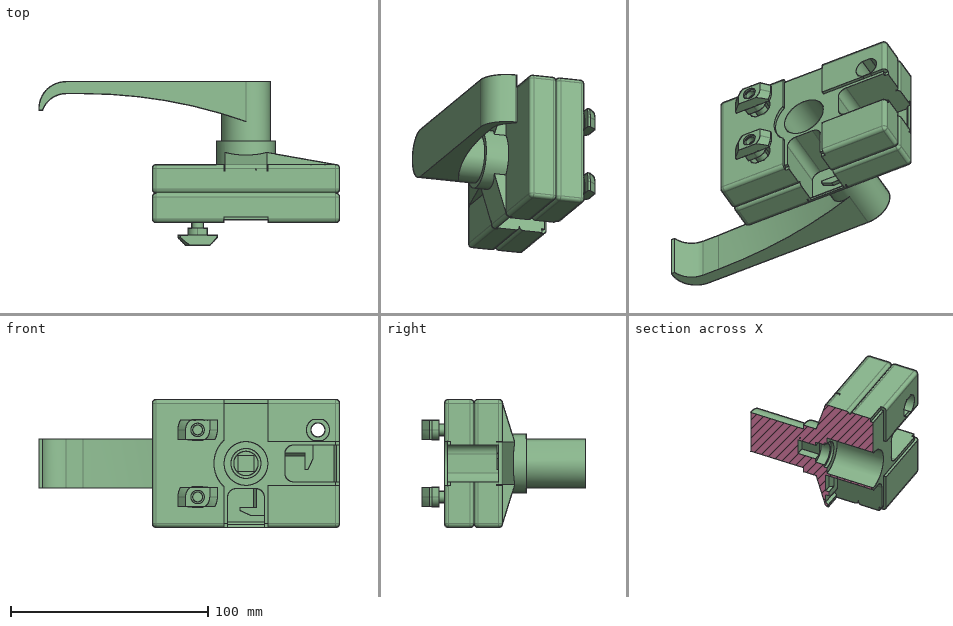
import cadquery as cq
import math


BODY_LENGTH = 95.0
BODY_HEIGHT = 65.0
FRONT_PLATE = 15.0
BACK_PLATE = 14.5
EDGE_RADIUS = 2.0
HALF_LENGTH = BODY_LENGTH / 2
HALF_HEIGHT = BODY_HEIGHT / 2
BACK_FACE = FRONT_PLATE + BACK_PLATE

CHANNEL_WIDTH = 22.5
CHANNEL_DEPTH = 1.5
CHANNEL_DISC_RADIUS = 16.25
CHANNEL_END_DEPTH = 3.0

BORE_RADIUS = 11.1
BORE_DEPTH = 28.0
SEAT_RADIUS = 7.6
SEAT_DEPTH = 1.5
SPINDLE_HOLE_RADIUS = 6.2
SPINDLE_HOLE_DEPTH = 5.0
SPINDLE_SQUARE = 8.3
SPINDLE_SQUARE_DEPTH = 10.0

POCKET_WIDTH = 18.7
POCKET_CORNER_RADIUS = 4.5
POCKET_SILL_DEPTH = 27.3
POCKET_SILL = 1.5
POCKET_DEEPENING = 1.4
SIDE_POCKET_START = 19.7
LOWER_POCKET_START = 12.7
HOOK_RISE = 2.0
SIDE_HOOK_END = 34.1
LOWER_HOOK_END = 26.5
HOOK_BAR_INNER = 5.3
HOOK_SLOPE = 1.5
HOOK_NOSE_WIDTH = 4.1
HOOK_NOSE_TIP_WIDTH = 1.4
HOOK_NOSE_END = -3.1
HOOK_NOSE_TAPER_START = 2.6

LOCK_X = 36.5
LOCK_RADIUS = 3.5
FLATTED_RADIUS = 5.85
FLATTED_HEIGHT = 10.8
FLATTED_DEPTH = 20.0

HUB_RADIUS = 15.0
HUB_END = 41.5
RIB_WIDTH = 21.5
RIB_HUB_Y = 35.6
RIB_HUB_REACH = 10.9
RIB_GROOVE_Y = 26.3

HANDLE_END = 71.6
SHAFT_RADIUS = 12.5
ARM_TIP_X = -105.0
ARM_TIP_Y = 57.0
ARM_TIP_WIDTH = 1.9
ARM_CURL_X = -91.2
ARM_FLAT_X = -82.5
ARM_THICKNESS = 6.2
ARM_ROOT_Y = 51.3

NUT_X = -24.5
FASTENER_Z = 17.0
NUT_END = -11.5
NUT_LENGTH = 20.0
NUT_WIDTH = 9.8
NUT_FLANGE = 5.2
NUT_RIM = 1.2
NUT_TOP_LENGTH = 12.3
NUT_COLLAR = 3.6
NUT_COLLAR_RADIUS = 5.0
BOLT_RADIUS = 3.0
NUT_HOLE_RADIUS = 3.4
NUT_HOLE_DEPTH = 1.0
NUT_INNER_RADIUS = 2.5
NUT_INNER_DEPTH = 4.0


def block(x0, x1, y0, y1, z0, z1):
    """Box given by its limits on the three axes."""
    return cq.Workplane("XY").box(x1 - x0, y1 - y0, z1 - z0, centered=False).translate((x0, y0, z0))


def facing_front(y):
    """Sketch plane at Y = y whose local axes are X and Z and which extrudes toward +Y when negated."""
    return cq.Workplane("XZ", origin=(0, y, 0))


def disc(radius, y0, y1, x=0, z=0):
    """Cylinder along Y."""
    return facing_front(y0).center(x, z).circle(radius).extrude(y0 - y1)


def plate(y0, y1):
    """Housing plate with every edge rounded."""
    body = block(-HALF_LENGTH, HALF_LENGTH, y0, y1, -HALF_HEIGHT, HALF_HEIGHT)
    return body.edges().fillet(EDGE_RADIUS)


def channels():
    """Front recess: a vertical and a +X channel, a half disc, and deeper steps at the open ends."""
    half = CHANNEL_WIDTH / 2
    step_x = HALF_LENGTH - EDGE_RADIUS
    step_z = HALF_HEIGHT - EDGE_RADIUS
    half_disc = disc(CHANNEL_DISC_RADIUS, 0, CHANNEL_DEPTH).intersect(
        block(-CHANNEL_DISC_RADIUS, 0, 0, CHANNEL_DEPTH, -CHANNEL_DISC_RADIUS, CHANNEL_DISC_RADIUS)
    )
    cut = block(-half, half, 0, CHANNEL_DEPTH, -HALF_HEIGHT, HALF_HEIGHT)
    cut = cut.union(block(0, HALF_LENGTH, 0, CHANNEL_DEPTH, -half, half))
    cut = cut.union(half_disc)
    cut = cut.union(block(step_x, HALF_LENGTH, 0, CHANNEL_END_DEPTH, -half, half))
    cut = cut.union(block(-half, half, 0, CHANNEL_END_DEPTH, step_z, HALF_HEIGHT))
    return cut.union(block(-half, half, 0, CHANNEL_END_DEPTH, -HALF_HEIGHT, -step_z))


def latch_pocket(start, end, hook_end):
    """Pocket cutter opening toward +X, with a raised hook left standing on its floor."""
    half = POCKET_WIDTH / 2
    floor = POCKET_SILL_DEPTH + POCKET_DEEPENING
    sill = end - POCKET_SILL
    profile = [
        (start, 0),
        (end, 0),
        (end, POCKET_SILL_DEPTH),
        (sill, POCKET_SILL_DEPTH),
        (sill - POCKET_DEEPENING, floor),
        (start, floor),
    ]
    cut = cq.Workplane("XY", origin=(0, 0, -half)).polyline(profile).close().extrude(POCKET_WIDTH)
    cut = cut.edges("|Y and <X").fillet(POCKET_CORNER_RADIUS)
    return cut.cut(latch_hook(start, hook_end, floor))


def latch_hook(start, hook_end, floor):
    """Bar with a tapered nose, standing on the pocket floor; the bar has a sloping inner side."""
    half = POCKET_WIDTH / 2
    nose = hook_end - HOOK_NOSE_WIDTH
    crest = floor - HOOK_RISE
    outline = [
        (start, half),
        (start, HOOK_BAR_INNER),
        (nose, HOOK_BAR_INNER),
        (nose, HOOK_NOSE_END),
        (nose + HOOK_NOSE_TIP_WIDTH, HOOK_NOSE_END),
        (hook_end, HOOK_NOSE_TAPER_START),
        (hook_end, half),
    ]
    hook = facing_front(crest).polyline(outline).close().extrude(-HOOK_RISE)
    slope = [(crest, HOOK_BAR_INNER), (floor, HOOK_BAR_INNER), (floor, HOOK_BAR_INNER - HOOK_SLOPE)]
    ramp = cq.Workplane("YZ", origin=(start, 0, 0)).polyline(slope).close().extrude(nose - start)
    return hook.union(ramp)


def center_opening():
    """Stepped round bore ending in the square spindle socket."""
    seat_end = BORE_DEPTH + SEAT_DEPTH
    hole_end = seat_end + SPINDLE_HOLE_DEPTH
    half = SPINDLE_SQUARE / 2
    cut = disc(BORE_RADIUS, 0, BORE_DEPTH)
    cut = cut.union(disc(SEAT_RADIUS, BORE_DEPTH, seat_end))
    cut = cut.union(disc(SPINDLE_HOLE_RADIUS, seat_end, hole_end))
    return cut.union(block(-half, half, hole_end, hole_end + SPINDLE_SQUARE_DEPTH, -half, half))


def flatted_hole(x, z):
    """Round blind hole from the front face with flats above and below."""
    half = FLATTED_HEIGHT / 2
    flats = block(x - FLATTED_RADIUS, x + FLATTED_RADIUS, 0, FLATTED_DEPTH, z - half, z + half)
    return disc(FLATTED_RADIUS, 0, FLATTED_DEPTH, x, z).intersect(flats)


def rib(half_size):
    """Rib along +X that falls from the hub to the rounded edge of a plate reaching half_size."""
    tangent = half_size - EDGE_RADIUS
    bend = EDGE_RADIUS * math.sqrt(0.5)
    base = BACK_FACE - EDGE_RADIUS
    profile = (
        cq.Workplane("XY", origin=(0, 0, -RIB_WIDTH / 2))
        .moveTo(0, RIB_GROOVE_Y)
        .lineTo(half_size, RIB_GROOVE_Y)
        .lineTo(half_size, base)
        .threePointArc((tangent + bend, base + bend), (tangent, BACK_FACE))
        .lineTo(RIB_HUB_REACH, RIB_HUB_Y)
        .lineTo(0, RIB_HUB_Y)
        .close()
    )
    return profile.extrude(RIB_WIDTH)


def rib_groove(half_size):
    """Slot across the plate edge, as wide as the channel, in which the narrower rib sits."""
    half = CHANNEL_WIDTH / 2
    return block(half_size - EDGE_RADIUS, half_size, RIB_GROOVE_Y, BACK_FACE, -half, half)


def turned(shape, angle):
    """Shape turned about the shaft axis; 90 degrees takes +X to -Z."""
    return shape.rotate((0, 0, 0), (0, 1, 0), angle)


def handle():
    """Round shaft with a curled lever arm reaching toward -X."""
    outer_radius = ARM_CURL_X - ARM_TIP_X
    curl_y = HANDLE_END - outer_radius
    bend = outer_radius * math.sqrt(0.5)
    inner_y = HANDLE_END - ARM_THICKNESS
    arm = (
        cq.Workplane("XY", origin=(0, 0, -SHAFT_RADIUS))
        .moveTo(0, HANDLE_END)
        .lineTo(ARM_CURL_X, HANDLE_END)
        .threePointArc((ARM_CURL_X - bend, curl_y + bend), (ARM_TIP_X, curl_y))
        .lineTo(ARM_TIP_X, ARM_TIP_Y)
        .lineTo(ARM_TIP_X + ARM_TIP_WIDTH, ARM_TIP_Y)
    )
    curl_run = ARM_CURL_X - ARM_TIP_X - ARM_TIP_WIDTH
    arm = arm.threePointArc(
        arc_middle(ARM_CURL_X, inner_y, -curl_run, inner_y - ARM_TIP_Y), (ARM_CURL_X, inner_y)
    ).lineTo(ARM_FLAT_X, inner_y)
    arm = arm.threePointArc(
        arc_middle(ARM_FLAT_X, inner_y, -ARM_FLAT_X, inner_y - ARM_ROOT_Y), (0, ARM_ROOT_Y)
    ).close().extrude(2 * SHAFT_RADIUS)
    return disc(SHAFT_RADIUS, HUB_END, HANDLE_END).union(arm)


def arc_middle(x, y, run, drop):
    """Middle point of the arc leaving (x, y) level and falling by drop over the given run."""
    radius = (run**2 + drop**2) / (2 * drop)
    half_angle = math.asin(abs(run) / radius) / 2
    return (
        x + math.copysign(radius * math.sin(half_angle), run),
        y - radius * (1 - math.cos(half_angle)),
    )


def t_nut():
    """Quarter-turn T-nut on its bolt, centred on X = Z = 0; opposite quarters are round."""
    half_length = NUT_LENGTH / 2
    half_width = NUT_WIDTH / 2
    flange_y = NUT_END + NUT_FLANGE
    collar_y = flange_y + NUT_COLLAR
    profile = [
        (0, flange_y),
        (half_length, flange_y),
        (half_length, flange_y - NUT_RIM),
        (NUT_TOP_LENGTH / 2, NUT_END),
        (0, NUT_END),
    ]
    round_flange = cq.Workplane("XY").polyline(profile).close().revolve(360, (0, 0, 0), (0, 1, 0))
    square_flange = cq.Workplane("XY").polyline(profile).close().extrude(half_width)
    round_quarter = round_flange.intersect(block(-half_length, 0, NUT_END, flange_y, 0, half_width))
    square_collar = block(0, NUT_COLLAR_RADIUS, flange_y, collar_y, 0, NUT_COLLAR_RADIUS)
    half_nut = round_quarter.union(square_flange).union(square_collar)
    nut = half_nut.union(turned(half_nut, 180))
    nut = nut.union(disc(NUT_COLLAR_RADIUS, flange_y, collar_y))
    nut = nut.cut(disc(NUT_HOLE_RADIUS, NUT_END, NUT_END + NUT_HOLE_DEPTH))
    nut = nut.cut(disc(NUT_INNER_RADIUS, NUT_END, NUT_END + NUT_INNER_DEPTH))
    return nut.union(disc(BOLT_RADIUS, collar_y, FLATTED_DEPTH))


housing = plate(0, FRONT_PLATE).union(plate(FRONT_PLATE, BACK_FACE))

rib_places = ((HALF_LENGTH, 0), (HALF_HEIGHT, 90), (HALF_HEIGHT, -90))
for half_size, angle in rib_places:
    housing = housing.cut(turned(rib_groove(half_size), angle))
    housing = housing.union(turned(rib(half_size), angle))

housing = housing.union(disc(HUB_RADIUS, BACK_FACE - EDGE_RADIUS, HUB_END))
housing = housing.union(handle())

housing = housing.cut(channels())
housing = housing.cut(latch_pocket(SIDE_POCKET_START, HALF_LENGTH, SIDE_HOOK_END))
housing = housing.cut(turned(latch_pocket(LOWER_POCKET_START, HALF_HEIGHT, LOWER_HOOK_END), 90))
housing = housing.cut(center_opening())
housing = housing.cut(flatted_hole(LOCK_X, FASTENER_Z))
housing = housing.cut(disc(LOCK_RADIUS, 0, BACK_FACE, LOCK_X, FASTENER_Z))

result = housing
for nut_z in (-FASTENER_Z, FASTENER_Z):
    result = result.cut(flatted_hole(NUT_X, nut_z))
    result = result.union(t_nut().translate((NUT_X, 0, nut_z)))